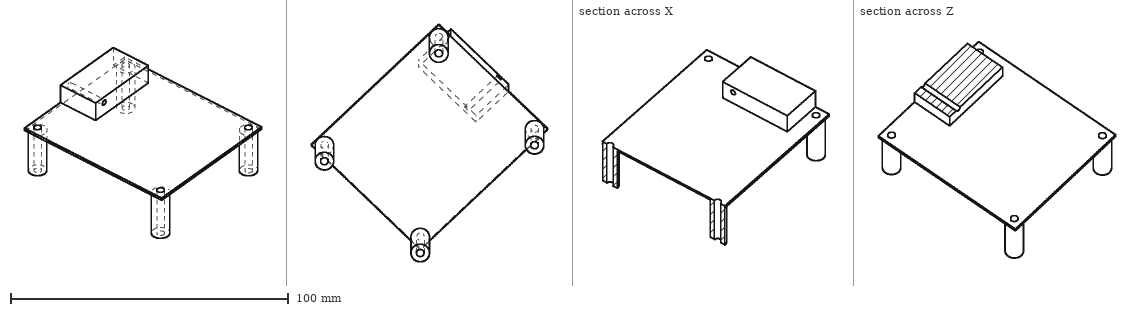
import cadquery as cq

board_length = 64.75
board_width = 55.75
board_thickness = 1.05
total_height = 27.1

leg_diameter = 6.75
leg_length = 18.25
screw_hole_diameter = 2.7

block_length = 16.65
block_width = 29.45
block_back_gap = 6.2
block_height = total_height - leg_length - board_thickness

cross_hole_diameter = 2.0
cross_hole_from_front = 4.8
cross_hole_from_top = 2.5

board_top = leg_length + board_thickness
block_front = board_width - block_back_gap - block_width
leg_inset = leg_diameter / 2
leg_centers = [
    (x, y)
    for x in (leg_inset, board_length - leg_inset)
    for y in (leg_inset, board_width - leg_inset)
]


def make_board():
    return cq.Workplane("XY", origin=(0, 0, leg_length)).box(
        board_length, board_width, board_thickness, centered=False
    )


def make_legs():
    return cq.Workplane("XY").pushPoints(leg_centers).circle(leg_diameter / 2).extrude(leg_length)


def make_screw_holes():
    return cq.Workplane("XY").pushPoints(leg_centers).circle(screw_hole_diameter / 2).extrude(board_top)


def make_block():
    block = cq.Workplane("XY", origin=(0, block_front, board_top)).box(
        block_length, block_width, block_height, centered=False
    )
    hole_y = block_front + cross_hole_from_front
    hole_z = total_height - cross_hole_from_top
    cross_hole = (
        cq.Workplane("YZ", origin=(0, hole_y, hole_z))
        .circle(cross_hole_diameter / 2)
        .extrude(block_length)
    )
    return block.cut(cross_hole)


result = make_board().union(make_legs()).union(make_block()).cut(make_screw_holes())